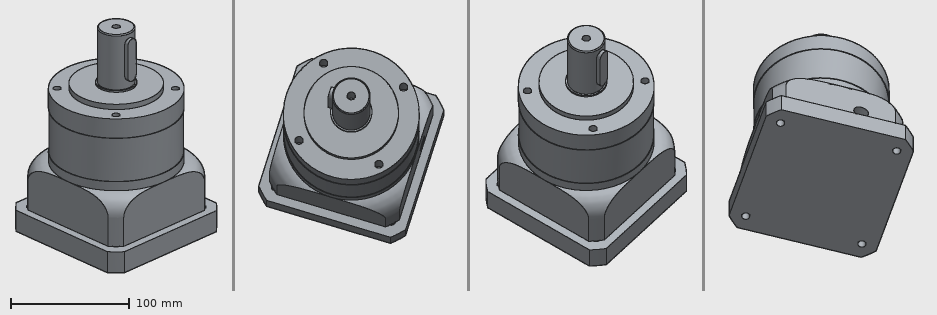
import cadquery as cq
import math

FLANGE_SIDE = 130.0
FLANGE_CORNER_DIAMETER = 170.0
FLANGE_THICKNESS = 20.0
FLANGE_HOLE_DIAMETER = 6.8
FLANGE_BOLT_CIRCLE = 145.0

BODY_DIAMETER = 115.0
HOUSING_SIDE = BODY_DIAMETER
HOUSING_CORNER_DIAMETER = 150.0
HOUSING_ROUND_RADIUS = 17.0
HOUSING_TOP = 64.0

ACCESS_HOLE_DIAMETER = 12.8
ACCESS_HOLE_Y = -18.0
ACCESS_HOLE_Z = 34.5
CLAMP_HUB_DIAMETER = 50.0

BODY_TOP = 132.0
RECESSED_BAND_DIAMETER = 114.0
RECESSED_BAND_BOTTOM = 72.5
RECESSED_BAND_TOP = 113.5
PILOT_DIAMETER = 80.0
PILOT_TOP = 137.0
COLLAR_DIAMETER = 35.0
COLLAR_TOP = 138.5
SHAFT_DIAMETER = 32.0
SHAFT_TOP = 190.5
SHAFT_CHAMFER = 1.0

DRILL_POINT_ANGLE = 118.0
DRILLED_HOLE_DIAMETER = 6.8
BODY_HOLE_DEPTH = 20.0
BODY_BOLT_CIRCLE = 100.0
SHAFT_HOLE_DEPTH = 20.0

KEY_WIDTH = 10.0
KEY_LENGTH = 40.0
KEY_BOTTOM = 145.5
KEY_OUTER_X = 19.0
KEY_SEAT_X = 11.0


def cylinder(diameter, bottom, top):
    return cq.Workplane("XY").workplane(offset=bottom).circle(diameter / 2).extrude(top - bottom)


def square_block(side, bottom, top):
    return cq.Workplane("XY").workplane(offset=bottom).rect(side, side).extrude(top - bottom)


def diagonal_points(bolt_circle):
    """Four places on the bolt circle, on the diagonals of the square."""
    offset = bolt_circle / 2 / math.sqrt(2)
    return [(x * offset, y * offset) for x in (-1, 1) for y in (-1, 1)]


def drilled_hole(x, y, top, depth):
    """Blind hole opening upward, with a drill point below its full depth."""
    radius = DRILLED_HOLE_DIAMETER / 2
    point_length = radius / math.tan(math.radians(DRILL_POINT_ANGLE / 2))
    profile = (
        cq.Workplane("XZ")
        .moveTo(0, top)
        .lineTo(radius, top)
        .lineTo(radius, top - depth)
        .lineTo(0, top - depth - point_length)
        .close()
    )
    return profile.revolve(360, (0, 0, 0), (0, 1, 0)).translate((x, y, 0))


def make_flange():
    flange = square_block(FLANGE_SIDE, 0, FLANGE_THICKNESS)
    flange = flange.intersect(cylinder(FLANGE_CORNER_DIAMETER, 0, FLANGE_THICKNESS))
    for x, y in diagonal_points(FLANGE_BOLT_CIRCLE):
        hole = cylinder(FLANGE_HOLE_DIAMETER, 0, FLANGE_THICKNESS).translate((x, y, 0))
        flange = flange.cut(hole)
    return flange


def make_housing():
    turned = cylinder(HOUSING_CORNER_DIAMETER, FLANGE_THICKNESS, HOUSING_TOP)
    turned = turned.faces(">Z").edges().fillet(HOUSING_ROUND_RADIUS)
    return turned.intersect(square_block(HOUSING_SIDE, FLANGE_THICKNESS, HOUSING_TOP))


def make_access_hole():
    hole = (
        cq.Workplane("YZ")
        .workplane(offset=-HOUSING_SIDE / 2)
        .center(ACCESS_HOLE_Y, ACCESS_HOLE_Z)
        .circle(ACCESS_HOLE_DIAMETER / 2)
        .extrude(HOUSING_SIDE / 2)
    )
    return hole.cut(cylinder(CLAMP_HUB_DIAMETER, FLANGE_THICKNESS, HOUSING_TOP))


def make_body():
    """Round gear body with a slightly smaller band around its middle."""
    lower_ring = cylinder(BODY_DIAMETER, HOUSING_TOP, RECESSED_BAND_BOTTOM)
    band = cylinder(RECESSED_BAND_DIAMETER, RECESSED_BAND_BOTTOM, RECESSED_BAND_TOP)
    upper_ring = cylinder(BODY_DIAMETER, RECESSED_BAND_TOP, BODY_TOP)
    return lower_ring.union(band).union(upper_ring)


def make_shaft():
    shaft = cylinder(SHAFT_DIAMETER, COLLAR_TOP, SHAFT_TOP)
    return shaft.faces(">Z").edges().chamfer(SHAFT_CHAMFER)


def make_key():
    return (
        cq.Workplane("YZ")
        .workplane(offset=KEY_SEAT_X)
        .center(0, KEY_BOTTOM + KEY_LENGTH / 2)
        .slot2D(KEY_LENGTH, KEY_WIDTH, 90)
        .extrude(KEY_OUTER_X - KEY_SEAT_X)
    )


result = make_flange().union(make_housing())
result = result.union(make_body())
result = result.union(cylinder(PILOT_DIAMETER, BODY_TOP, PILOT_TOP))
result = result.union(cylinder(COLLAR_DIAMETER, PILOT_TOP, COLLAR_TOP))
result = result.union(make_shaft()).union(make_key())
result = result.cut(make_access_hole())
result = result.cut(drilled_hole(0, 0, SHAFT_TOP, SHAFT_HOLE_DEPTH))
for hole_x, hole_y in diagonal_points(BODY_BOLT_CIRCLE):
    result = result.cut(drilled_hole(hole_x, hole_y, BODY_TOP, BODY_HOLE_DEPTH))